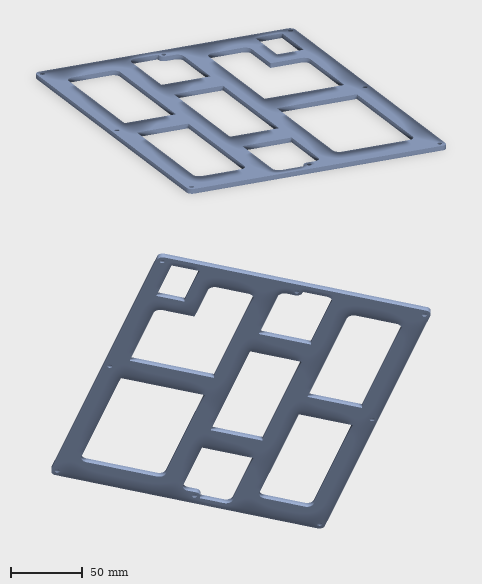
import cadquery as cq

LENGTH = 250.0
WIDTH = 200.0
THICKNESS = 3.5
PLATE_CORNER_RADIUS = 4.0

WEB = 20.0
OUTER_WINDOW_X = 105.0
UPPER_ROW = (23.0, 84.7)
MIDDLE_ROW = (-30.2, 7.7)
LOWER_ROW = (-85.2, -45.5)
WINDOW_RADIUS = 5.0
STEP_X = -69.7
STEP_Y = 56.2

CENTRE_WINDOW_HALF = 45.2
SIDE_WINDOW_X = 118.5

SMALL_WINDOW_X = (-118.2, -83.2)
SMALL_WINDOW_Y = (67.7, 88.5)

HOLE_DIAMETER = 3.5
EDGE_HOLE_X = 120.2
EDGE_HOLE_Y = 96.0
SIDE_HOLE_X = 117.2
SIDE_HOLE_Y = -3.5
LUG_RADIUS = 4.0


def window(x_range, y_range, rounded_edges=None):
    """Through-cutter for a rectangle, with the selected upright edges rounded."""
    x_min, x_max = x_range
    y_min, y_max = y_range
    cutter = (
        cq.Workplane("XY")
        .box(x_max - x_min, y_max - y_min, THICKNESS, centered=False)
        .translate((x_min, y_min, 0))
    )
    if rounded_edges:
        cutter = cutter.edges(rounded_edges).fillet(WINDOW_RADIUS)
    return cutter


def mirrored(shape):
    return shape.mirror("YZ")


def stepped_window():
    """Upper left window, whose outer top corner is stepped around the small window."""
    lower_part = window((-OUTER_WINDOW_X, -WEB / 2), (UPPER_ROW[0], STEP_Y), "|Z and <X")
    upper_part = window((STEP_X, -WEB / 2), UPPER_ROW, "|Z and <X and >Y")
    return lower_part.union(upper_part)


def side_window():
    """Left middle window, notched by the rounded lug around the side hole."""
    bottom, top = MIDDLE_ROW
    inner_x = -CENTRE_WINDOW_HALF - WEB
    lug_x = -SIDE_HOLE_X + LUG_RADIUS
    lug_y = SIDE_HOLE_Y - LUG_RADIUS
    return (
        cq.Workplane("XY")
        .moveTo(inner_x, bottom)
        .lineTo(inner_x, top)
        .lineTo(lug_x + WINDOW_RADIUS, top)
        .radiusArc((lug_x, top - WINDOW_RADIUS), -WINDOW_RADIUS)
        .lineTo(lug_x, SIDE_HOLE_Y)
        .radiusArc((-SIDE_HOLE_X, lug_y), LUG_RADIUS)
        .lineTo(-SIDE_WINDOW_X, lug_y)
        .lineTo(-SIDE_WINDOW_X, bottom + WINDOW_RADIUS)
        .radiusArc((-SIDE_WINDOW_X + WINDOW_RADIUS, bottom), -WINDOW_RADIUS)
        .close()
        .extrude(THICKNESS)
    )


def screw_holes():
    """Three holes along each long edge and one in each side lug."""
    points = [(x, y) for x in (-EDGE_HOLE_X, 0, EDGE_HOLE_X) for y in (-EDGE_HOLE_Y, EDGE_HOLE_Y)]
    points += [(x, SIDE_HOLE_Y) for x in (-SIDE_HOLE_X, SIDE_HOLE_X)]
    return cq.Workplane("XY").pushPoints(points).circle(HOLE_DIAMETER / 2).extrude(THICKNESS)


plate = (
    cq.Workplane("XY")
    .box(LENGTH, WIDTH, THICKNESS, centered=(True, True, False))
    .edges("|Z")
    .fillet(PLATE_CORNER_RADIUS)
)

right_span = (WEB / 2, OUTER_WINDOW_X)
upper_right = window(right_span, UPPER_ROW, "|Z and >X")
lower_right = window(right_span, LOWER_ROW, "|Z and >X")
centre = window((-CENTRE_WINDOW_HALF, CENTRE_WINDOW_HALF), MIDDLE_ROW)
small = window(SMALL_WINDOW_X, SMALL_WINDOW_Y)
left_side = side_window()

cutters = [
    stepped_window(),
    upper_right,
    lower_right,
    mirrored(lower_right),
    centre,
    left_side,
    mirrored(left_side),
    small,
    screw_holes(),
]

result = plate
for cutter in cutters:
    result = result.cut(cutter)